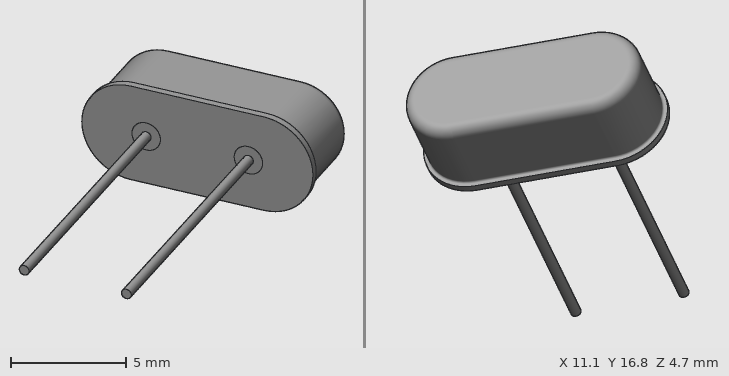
import cadquery as cq

overall_length = 16.8
lead_length = 12.7
flange_width = 11.05
flange_height = 4.7
flange_thickness = 0.34
flange_overhang = 0.2
can_edge_radius = 0.5
root_fillet_radius = 0.1
bead_diameter = 1.36
lead_diameter = 0.47
lead_pitch = 4.89

body_depth = overall_length - lead_length
can_width = flange_width - 2 * flange_overhang
can_height = flange_height - 2 * flange_overhang
bead_depth = flange_thickness
lead_positions = (-lead_pitch / 2, lead_pitch / 2)


def extrude_plane(y):
    """XZ plane at the given Y whose extrusions run toward +Y."""
    return cq.Workplane(cq.Plane(origin=(0, y, 0), xDir=(1, 0, 0), normal=(0, 1, 0)))


def cylinder(x, diameter, start_y, length):
    """Cylinder along +Y, centred on x and starting at start_y."""
    return extrude_plane(start_y).center(x, 0).circle(diameter / 2).extrude(length)


def make_housing():
    """Oblong can and its flange, with a socket for each glass bead."""
    flange = extrude_plane(0).slot2D(flange_width, flange_height).extrude(flange_thickness)
    can = extrude_plane(0).slot2D(can_width, can_height).extrude(body_depth)
    can = can.faces(">Y").edges().fillet(can_edge_radius)
    housing = flange.union(can)
    flange_top = housing.faces("|Y").faces(">Y[-2]")
    root_edges = flange_top.val().innerWires()[0].Edges()
    housing = housing.newObject(root_edges).fillet(root_fillet_radius)
    for x in lead_positions:
        housing = housing.cut(cylinder(x, bead_diameter, 0, bead_depth))
    return housing


def make_bead(x):
    """Glass bead flush with the flange, bored through for its lead."""
    bore = cylinder(x, lead_diameter, 0, bead_depth)
    return cylinder(x, bead_diameter, 0, bead_depth).cut(bore)


def make_lead(x):
    """Straight wire lead passing through the bead to the bottom of its socket."""
    return cylinder(x, lead_diameter, -lead_length, lead_length + bead_depth)


housing = make_housing()
beads = [make_bead(x).val() for x in lead_positions]
leads = [make_lead(x).val() for x in lead_positions]

result = cq.Compound.makeCompound([housing.val(), *beads, *leads])